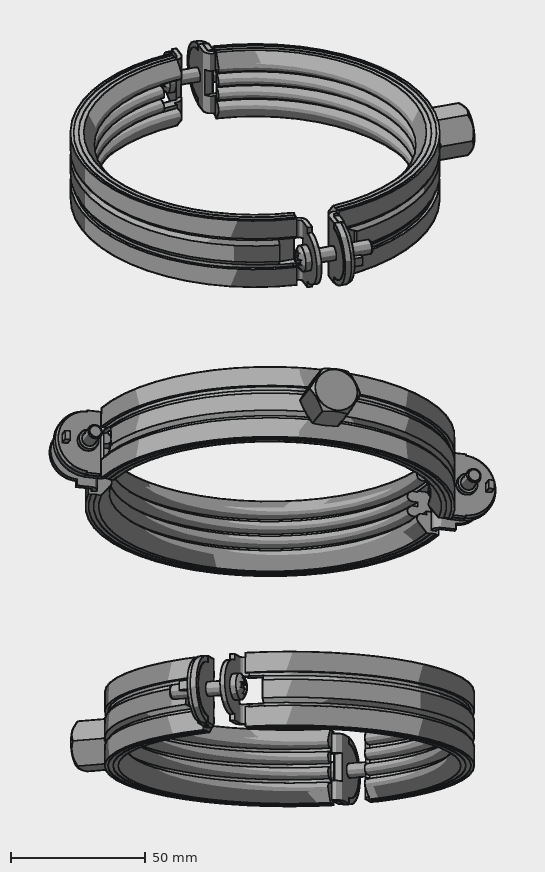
import cadquery as cq
import math

DIAGONAL = math.sqrt(0.5)

OUTER_RADIUS = 68.8
LIP_THICKNESS = 1.2
STEEL_THICKNESS = 1.9
LINING_THICKNESS = 1.9
LINING_WIDTH = 28.1
STEEL_WIDTH = 25.4
LIP_GAP_HALF = 6.5
END_ANGLE = 7.0
EDGE_RECESS = 0.2

STEEL_OUTER = OUTER_RADIUS - LIP_THICKNESS
STEEL_INNER = STEEL_OUTER - STEEL_THICKNESS
LINING_INNER = STEEL_INNER - LINING_THICKNESS

BEAD_TOP_HALF = 3.5
BEAD_FOOT_HALF = 5.1

BORE_RADIUS = 59.9
RIB_COUNT = 4
RIB_PITCH = 5.8
RIB_WIDTH = 4.1

EAR_INNER_Y = 4.3
EAR_OUTER_Y = EAR_INNER_Y + STEEL_THICKNESS
BEND_RADIUS = 1.4
EAR_TIP_RADIUS = 10.3
SCREW_X = 73.7
BEND_X = STEEL_OUTER * math.cos(math.radians(END_ANGLE)) + BEND_RADIUS
BEND_Y = EAR_OUTER_Y + BEND_RADIUS

WINDOW_HALF = 5.3
FRONT_WINDOW_END_Y = 14.7
REAR_BEND_SLOT_X = 67.0
REAR_TAPER_START_Y = 11.7
REAR_TAPER_END_Y = 16.0

HALF_LENGTH = 85.8
CAP_RADIUS = STEEL_WIDTH / 2
CAP_FRONT_Y = 4.5
CAP_BACK_Y = 8.4
CAP_CHAMFER_INSET = 0.7
CAP_CHAMFER_HEIGHT = 1.5
BRIDGE_WIDTH = 25.0
COLLAR_DIAMETER = 7.7
COLLAR_END_Y = 10.6
PEG_X = 82.5
PEG_SIZE_X = 2.0
PEG_SIZE_Z = 3.5
PEG_END_Y = 12.2

SCREW_DIAMETER = 5.5
SCREW_END_Y = 18.9
SCREW_CHAMFER = 0.5
HEAD_DIAMETER = 10.0
HEAD_RIM_HEIGHT = 2.4
HEAD_HEIGHT = 4.6
RECESS_SPAN = 6.0
RECESS_WIDTH = 2.0
RECESS_DEPTH = 2.0

NUT_FLATS = 17.2
NUT_CORNERS = NUT_FLATS / math.cos(math.radians(30))
NUT_BASE_Y = OUTER_RADIUS - 0.2
NUT_TOP_Y = 84.0
NUT_TOP_DIAMETER = 16.3
NUT_BASE_DIAMETER = 14.4
NUT_CHAMFER_HEIGHT = 1.5


def box(x_range, y_range, z_range):
    """Box between the given limits."""
    (x0, x1), (y0, y1), (z0, z1) = x_range, y_range, z_range
    return cq.Workplane("XY").box(x1 - x0, y1 - y0, z1 - z0, centered=False).translate((x0, y0, z0))


def rod(diameter, y_start, y_end, x=0.0):
    """Cylinder along Y."""
    return (
        cq.Workplane("XZ", origin=(x, y_start, 0))
        .circle(diameter / 2)
        .extrude(y_start - y_end)
    )


def sweep_ring(profile):
    """Turn a radius-height profile about Z over the span of the rear half."""
    sweep = 180 - 2 * END_ANGLE
    return profile.close().revolve(sweep, (0, 0), (0, 1)).rotate((0, 0, 0), (0, 0, 1), END_ANGLE)


def ring_band():
    """Band and lining of the rear half, without the inner ribs."""
    half = LINING_WIDTH / 2
    core = half - EDGE_RECESS
    return sweep_ring(
        cq.Workplane("XZ")
        .moveTo(LINING_INNER, -half)
        .lineTo(STEEL_INNER, -half)
        .lineTo(STEEL_INNER, -core)
        .lineTo(STEEL_OUTER, -core)
        .lineTo(STEEL_OUTER, -half)
        .lineTo(OUTER_RADIUS, -half)
        .lineTo(OUTER_RADIUS, -LIP_GAP_HALF)
        .lineTo(STEEL_OUTER, -LIP_GAP_HALF)
        .lineTo(STEEL_OUTER, -BEAD_FOOT_HALF)
        .lineTo(OUTER_RADIUS, -BEAD_TOP_HALF)
        .lineTo(OUTER_RADIUS, BEAD_TOP_HALF)
        .lineTo(STEEL_OUTER, BEAD_FOOT_HALF)
        .lineTo(STEEL_OUTER, LIP_GAP_HALF)
        .lineTo(OUTER_RADIUS, LIP_GAP_HALF)
        .lineTo(OUTER_RADIUS, half)
        .lineTo(STEEL_OUTER, half)
        .lineTo(STEEL_OUTER, core)
        .lineTo(STEEL_INNER, core)
        .lineTo(STEEL_INNER, half)
        .lineTo(LINING_INNER, half)
    )


def rib(z):
    """Round-tipped rib on the inside of the lining."""
    half = RIB_WIDTH / 2
    tip = BORE_RADIUS + half
    return sweep_ring(
        cq.Workplane("XZ")
        .moveTo(STEEL_INNER, z - half)
        .lineTo(tip, z - half)
        .threePointArc((BORE_RADIUS, z), (tip, z + half))
        .lineTo(STEEL_INNER, z + half)
    )


def edge_slope(z):
    """Slope from the top edge of the lining to the tip of the topmost rib."""
    edge = LINING_WIDTH / 2
    half = RIB_WIDTH / 2
    tip = BORE_RADIUS + half
    return sweep_ring(
        cq.Workplane("XZ")
        .moveTo(LINING_INNER, z)
        .lineTo(tip, z)
        .lineTo(tip - half * DIAGONAL, z + half * DIAGONAL)
        .lineTo(LINING_INNER, edge)
        .lineTo(STEEL_INNER, edge)
        .lineTo(STEEL_INNER, z)
    )


def lined_ring():
    """Band and lining of the rear half, with all ribs."""
    ring = ring_band()
    top_rib_z = (RIB_COUNT - 1) / 2 * RIB_PITCH
    for i in range(RIB_COUNT):
        ring = ring.union(rib(top_rib_z - i * RIB_PITCH))
    slope = edge_slope(top_rib_z)
    return ring.union(slope).union(slope.mirror("XY"))


def ear():
    """Ear at the +X end of the rear half, with its bend into the band."""
    half = STEEL_WIDTH / 2
    outer_bend = BEND_RADIUS + STEEL_THICKNESS
    strip = (
        cq.Workplane("XY", origin=(0, 0, -half))
        .moveTo(SCREW_X, EAR_INNER_Y)
        .lineTo(BEND_X, EAR_INNER_Y)
        .threePointArc(
            (BEND_X - outer_bend * DIAGONAL, BEND_Y - outer_bend * DIAGONAL),
            (BEND_X - outer_bend, BEND_Y),
        )
        .lineTo(BEND_X - outer_bend, BEND_Y + STEEL_THICKNESS)
        .lineTo(BEND_X - BEND_RADIUS, BEND_Y + STEEL_THICKNESS)
        .lineTo(BEND_X - BEND_RADIUS, BEND_Y)
        .threePointArc(
            (BEND_X - BEND_RADIUS * DIAGONAL, BEND_Y - BEND_RADIUS * DIAGONAL),
            (BEND_X, EAR_OUTER_Y),
        )
        .lineTo(SCREW_X, EAR_OUTER_Y)
        .close()
        .extrude(STEEL_WIDTH)
    )
    tip = rod(2 * EAR_TIP_RADIUS, EAR_INNER_Y, EAR_OUTER_Y, SCREW_X)
    tip = tip.intersect(box((SCREW_X, HALF_LENGTH), (0, EAR_OUTER_Y), (-half, half)))
    return strip.union(tip)


def both_ends(body):
    """A body at the +X end together with its mirror image at the -X end."""
    return body.union(body.mirror("YZ"))


def half_clamp():
    """Rear half without windows: lined ring with an ear at each end."""
    return lined_ring().union(both_ends(ear()))


def front_window(depth_radius):
    """Straight window at the +X end of the front half, reaching inwards to depth_radius."""
    inner_x = math.sqrt(depth_radius**2 - FRONT_WINDOW_END_Y**2)
    return box((inner_x, BEND_X), (-FRONT_WINDOW_END_Y, 0), (-WINDOW_HALF, WINDOW_HALF))


def rear_window():
    """Tapered window at the +X end of the rear half, cut through the steel but not the lining."""
    inner_x = math.sqrt(STEEL_INNER**2 - REAR_TAPER_END_Y**2)
    taper = (
        cq.Workplane("YZ", origin=(inner_x, 0, 0))
        .moveTo(BEND_Y, -WINDOW_HALF)
        .lineTo(REAR_TAPER_START_Y, -WINDOW_HALF)
        .lineTo(REAR_TAPER_END_Y, -BEAD_TOP_HALF)
        .lineTo(REAR_TAPER_END_Y, BEAD_TOP_HALF)
        .lineTo(REAR_TAPER_START_Y, WINDOW_HALF)
        .lineTo(BEND_Y, WINDOW_HALF)
        .close()
        .extrude(OUTER_RADIUS - inner_x)
    )
    bend_slot = box((inner_x, REAR_BEND_SLOT_X), (0, BEND_Y), (-WINDOW_HALF, WINDOW_HALF))
    return taper.union(bend_slot)


def cap():
    """Cap behind the +X rear ear, with its collar and locating peg."""
    half = STEEL_WIDTH / 2
    tip_x = HALF_LENGTH - CAP_RADIUS
    disc = rod(2 * CAP_RADIUS, CAP_FRONT_Y, CAP_BACK_Y, tip_x)
    disc = disc.faces(">Y").chamfer(CAP_CHAMFER_HEIGHT, CAP_CHAMFER_INSET)
    disc = disc.intersect(box((SCREW_X, HALF_LENGTH), (0, CAP_BACK_Y), (-half, half)))
    bridge_z = (-BRIDGE_WIDTH / 2, BRIDGE_WIDTH / 2)
    bridge = box((BEND_X, SCREW_X), (EAR_OUTER_Y, CAP_BACK_Y), bridge_z)
    peg = box(
        (PEG_X - PEG_SIZE_X / 2, PEG_X + PEG_SIZE_X / 2),
        (EAR_OUTER_Y, PEG_END_Y),
        (-PEG_SIZE_Z / 2, PEG_SIZE_Z / 2),
    )
    collar = rod(COLLAR_DIAMETER, EAR_OUTER_Y, COLLAR_END_Y, SCREW_X)
    return disc.union(bridge).union(peg).union(collar)


def screw():
    """Pan-head screw with a cross recess, head towards -Y."""
    seat = -EAR_OUTER_Y
    head_end = seat - HEAD_HEIGHT
    dome_height = HEAD_HEIGHT - HEAD_RIM_HEIGHT
    dome_radius = ((HEAD_DIAMETER / 2) ** 2 + dome_height**2) / (2 * dome_height)
    shank = rod(SCREW_DIAMETER, seat, SCREW_END_Y, SCREW_X).faces(">Y").chamfer(SCREW_CHAMFER)
    dome = cq.Workplane("XY").sphere(dome_radius).translate((SCREW_X, head_end + dome_radius, 0))
    head = rod(HEAD_DIAMETER, head_end, seat, SCREW_X).intersect(dome)
    for size_x, size_z in ((RECESS_SPAN, RECESS_WIDTH), (RECESS_WIDTH, RECESS_SPAN)):
        slot = box(
            (SCREW_X - size_x / 2, SCREW_X + size_x / 2),
            (head_end, head_end + RECESS_DEPTH),
            (-size_z / 2, size_z / 2),
        )
        head = head.cut(slot)
    return shank.union(head)


def nut():
    """Hexagonal nut along Y, corners towards X, chamfered at both ends."""
    corner = NUT_CORNERS / 2
    top = NUT_TOP_DIAMETER / 2
    base = NUT_BASE_DIAMETER / 2
    prism = (
        cq.Workplane("XZ", origin=(0, NUT_BASE_Y, 0))
        .polygon(6, NUT_CORNERS)
        .extrude(NUT_BASE_Y - NUT_TOP_Y)
    )
    envelope = (
        cq.Workplane("XY")
        .moveTo(0, NUT_BASE_Y)
        .lineTo(base, NUT_BASE_Y)
        .lineTo(corner, NUT_BASE_Y + NUT_CHAMFER_HEIGHT)
        .lineTo(corner, NUT_TOP_Y - NUT_CHAMFER_HEIGHT)
        .lineTo(top, NUT_TOP_Y)
        .lineTo(0, NUT_TOP_Y)
        .close()
        .revolve(360, (0, 0), (0, 1))
    )
    return prism.intersect(envelope)


blank_half = half_clamp()
rear_half = blank_half.cut(both_ends(rear_window()))
front_half = (
    blank_half.mirror("XZ")
    .cut(front_window(STEEL_INNER))
    .cut(front_window(BORE_RADIUS).mirror("YZ"))
)
result = (
    rear_half.union(front_half)
    .union(both_ends(cap()))
    .union(both_ends(screw()))
    .union(nut())
)